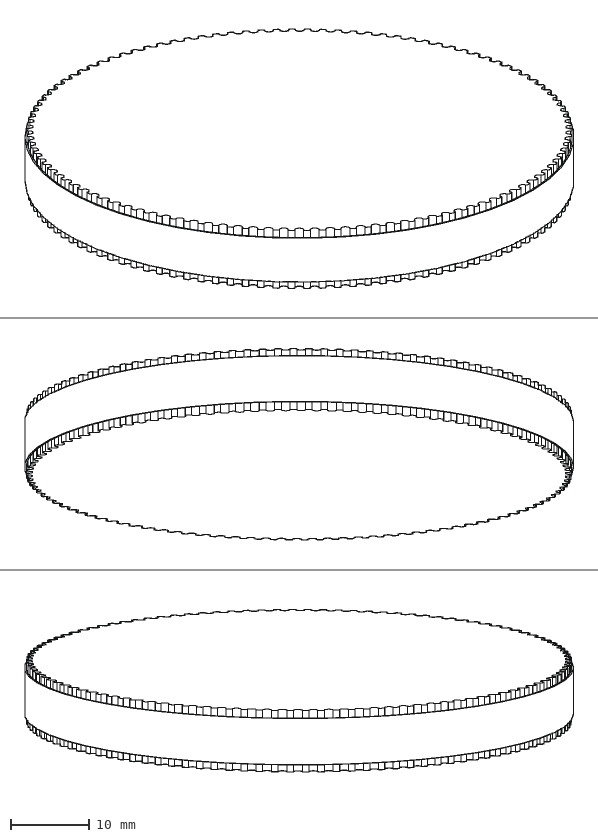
import cadquery as cq
import math

outer_diameter = 70.0
thickness = 8.0

band_thickness = 0.25
band_height = 6.0
band_outer_radius = outer_diameter / 2
crest_radius = band_outer_radius - band_thickness

groove_count = 110
groove_depth = 0.8
groove_radius = 0.55
tip_rounding = 0.2
root_radius = crest_radius - groove_depth
groove_center_radius = root_radius + groove_radius
pitch_angle = 2 * math.pi / groove_count

rounding_center_radius = crest_radius - tip_rounding
rounding_center_y = groove_radius + tip_rounding
rounding_center_x = math.sqrt(rounding_center_radius**2 - rounding_center_y**2)

crest_direction = math.atan2(rounding_center_y, rounding_center_x)
wall_direction = -math.pi / 2


def turned(point, angle):
    """Turn a point about the disc axis."""
    x, y = point
    return (
        x * math.cos(angle) - y * math.sin(angle),
        x * math.sin(angle) + y * math.cos(angle),
    )


def mirrored(point):
    """Mirror a point to the -Y side of the groove centred on +X."""
    x, y = point
    return (x, -y)


def rounding_point(direction):
    """Point on the tip rounding at the +Y side of the groove centred on +X."""
    return (
        rounding_center_x + tip_rounding * math.cos(direction),
        rounding_center_y + tip_rounding * math.sin(direction),
    )


def toothed_disc():
    """Full-thickness disc with rounded teeth; one groove is centred on +X."""
    crest_end = rounding_point(crest_direction)
    rounding_middle = rounding_point((crest_direction + wall_direction) / 2)
    wall_top = rounding_point(wall_direction)
    wall_bottom = (groove_center_radius, groove_radius)
    root = (root_radius, 0)
    crest_middle = turned((crest_radius, 0), pitch_angle / 2)
    next_crest_end = turned(mirrored(crest_end), pitch_angle)

    outline = cq.Workplane("XY", origin=(0, 0, -thickness / 2)).moveTo(*mirrored(crest_end))
    for index in range(groove_count):
        angle = index * pitch_angle
        outline = (
            outline
            .threePointArc(turned(mirrored(rounding_middle), angle), turned(mirrored(wall_top), angle))
            .lineTo(*turned(mirrored(wall_bottom), angle))
            .threePointArc(turned(root, angle), turned(wall_bottom, angle))
            .lineTo(*turned(wall_top, angle))
            .threePointArc(turned(rounding_middle, angle), turned(crest_end, angle))
            .threePointArc(turned(crest_middle, angle), turned(next_crest_end, angle))
        )
    return outline.close().extrude(thickness)


def band():
    """Thin plain ring that closes the outer side of the grooves."""
    return (
        cq.Workplane("XY", origin=(0, 0, -band_height / 2))
        .circle(band_outer_radius)
        .circle(crest_radius)
        .extrude(band_height)
    )


result = toothed_disc().union(band())